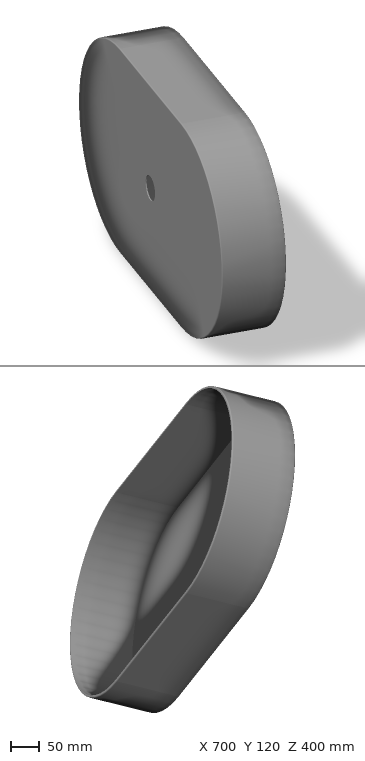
import cadquery as cq

length = 700.0
height = 400.0
depth = 120.0

wall = 4.0
floor_thickness = 2.0
edge_radius = 2.0
drain_diameter = 46.0

front_y = -depth / 2


def stadium_prism(offset, start_y, prism_depth):
    """Stadium inset by offset, extruded toward +Y from start_y."""
    plane = cq.Workplane("XZ", origin=(0, start_y, 0))
    return plane.slot2D(length - 2 * offset, height - 2 * offset).extrude(-prism_depth)


body = stadium_prism(0, front_y, depth)
body = body.faces("<Y or >Y").edges().fillet(edge_radius)

cavity = stadium_prism(wall, front_y + floor_thickness, depth - floor_thickness)

drain = cq.Workplane("XZ", origin=(0, front_y, 0)).circle(drain_diameter / 2).extrude(-floor_thickness)

result = body.cut(cavity).cut(drain)